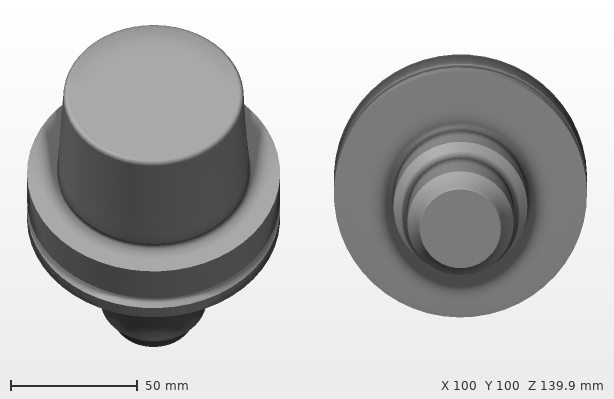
import cadquery as cq
import math

total_height = 139.9
flange_top = 89.8
flange_bottom = 61.0
flange_diameter = 100.0
flange_radius = flange_diameter / 2

shank_base_radius = 38.0
shank_top_radius = 35.5
shank_base = 92.5
shank_top_rounding = 1.8
relief_radius = 37.8
relief_blend_height = 0.8
relief_blend_width = 1.4
relief_shoulder_height = 0.8

groove_floor_radius = 46.0
groove_middle = 70.0
groove_floor_width = 3.2
groove_wall_angle = 22.0
groove_fillet = 0.8

body_radius = 26.5
body_root_fillet = 2.5
body_bottom = 38.2
neck_radius = 21.0
neck_top = 34.4
neck_root_fillet = 0.7
neck_bottom = 10.0

nose_radius = 16.4
nose_edge_height = 0.8
nose_tip_radius = 16.0
nose_hollow = 0.5


def make_shank():
    """Tapered plug with a rounded top edge and a narrow relief at its foot."""
    blend_radius = (relief_blend_width**2 + relief_blend_height**2) / (2 * relief_blend_height)
    shank = (
        cq.Workplane("XZ")
        .moveTo(0, flange_top)
        .lineTo(relief_radius + relief_blend_width, flange_top)
        .radiusArc((relief_radius, flange_top + relief_blend_height), blend_radius)
        .lineTo(relief_radius, shank_base - relief_shoulder_height)
        .lineTo(shank_base_radius, shank_base)
        .lineTo(shank_top_radius, total_height)
        .lineTo(0, total_height)
        .close()
        .revolve(360, (0, 0), (0, 1))
    )
    return shank.faces(">Z").edges().fillet(shank_top_rounding)


def make_flange():
    """Disc with a V-groove that has a flat floor and rounded floor corners."""
    wall_rise = (flange_radius - groove_floor_radius) * math.tan(math.radians(groove_wall_angle))
    floor_half = groove_floor_width / 2
    rim_half = floor_half + wall_rise
    flange = (
        cq.Workplane("XY", origin=(0, 0, flange_bottom))
        .circle(flange_radius)
        .extrude(flange_top - flange_bottom)
    )
    groove = (
        cq.Workplane("XZ")
        .polyline([
            (flange_radius, groove_middle - rim_half),
            (groove_floor_radius, groove_middle - floor_half),
            (groove_floor_radius, groove_middle + floor_half),
            (flange_radius, groove_middle + rim_half),
        ])
        .close()
        .revolve(360, (0, 0), (0, 1))
    )
    inside = cq.selectors.RadiusNthSelector(0)
    groove = groove.edges("%CIRCLE").edges(inside).fillet(groove_fillet)
    return flange.cut(groove)


def make_lower_body():
    """Body, conical step, neck and nose below the flange."""
    nose_middle = (
        (neck_radius + nose_radius) / 2 - nose_hollow,
        (neck_bottom + nose_edge_height) / 2,
    )
    body = (
        cq.Workplane("XZ")
        .lineTo(nose_tip_radius, 0)
        .lineTo(nose_radius, nose_edge_height)
        .threePointArc(nose_middle, (neck_radius, neck_bottom))
        .lineTo(neck_radius, neck_top)
        .lineTo(body_radius, body_bottom)
        .lineTo(body_radius, flange_bottom - body_root_fillet)
        .radiusArc((body_radius + body_root_fillet, flange_bottom), body_root_fillet)
        .lineTo(0, flange_bottom)
        .close()
        .revolve(360, (0, 0), (0, 1))
    )
    neck_root = cq.selectors.BoxSelector(
        (-flange_radius, -flange_radius, neck_top - neck_root_fillet),
        (flange_radius, flange_radius, neck_top + neck_root_fillet),
    )
    return body.edges("%CIRCLE").edges(neck_root).fillet(neck_root_fillet)


result = make_flange().union(make_shank()).union(make_lower_body())